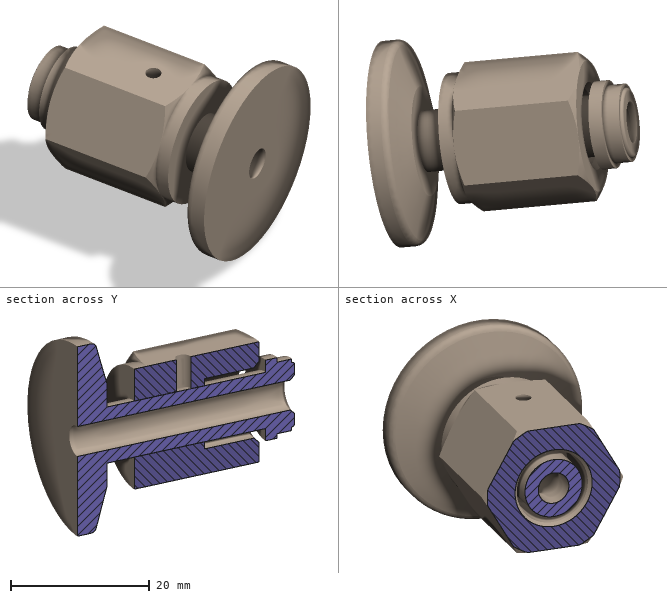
import cadquery as cq
import math

total_length = 35.8

bead_radius = 5.12
bead_length = 0.45
neck_radius = 5.7
collar_start = 2.85
collar_end = 4.85
collar_radius = 6.4
tube_radius = 4.48
bore_radius = 2.33
bore_chamfer = 0.75
flange_start = 30.82
flange_face_radius = 8.0
flange_radius = 15.0
flange_shoulder = 32.83
flange_round = 1.0

hex_start = 5.85
hex_end = 24.4
shoulder_end = 26.45
across_flats = 19.05
shoulder_radius = across_flats / 2
across_corners = across_flats / math.cos(math.radians(30))
corner_chamfer_angle = 30.0
recess_radius = 5.5
recess_mouth_radius = collar_radius
recess_depth = 8.95
vent_x = 18.3
vent_diameter = 2.33


def cylinder(start, end, radius):
    """Solid cylinder along the X axis."""
    return cq.Workplane("YZ", origin=(start, 0, 0)).circle(radius).extrude(end - start)


def revolve_about_x(points):
    """Revolve a closed (x, radius) outline about the X axis."""
    return cq.Workplane("XY").polyline(points).close().revolve(360, (0, 0, 0), (1, 0, 0))


def make_flange():
    blank = revolve_about_x([
        (flange_start, 0),
        (flange_start, flange_face_radius),
        (flange_shoulder, flange_radius),
        (total_length, flange_radius),
        (total_length, 0),
    ])
    rim_edges = blank.edges("%CIRCLE").edges(cq.selectors.RadiusNthSelector(-1))
    return rim_edges.edges("<X").fillet(flange_round)


def make_gland():
    tip = cylinder(0, collar_start, bead_radius).faces("<X").edges().fillet(bead_length)
    gland = (
        tip
        .union(cylinder(bead_length, collar_start, neck_radius))
        .union(cylinder(collar_start, collar_end, collar_radius))
        .union(cylinder(collar_end, flange_start, tube_radius))
        .union(make_flange())
        .cut(cylinder(0, total_length, bore_radius))
    )
    bore_mouth = cq.selectors.RadiusNthSelector(0)
    return gland.faces("<X").edges(bore_mouth).chamfer(bore_chamfer)


def make_hexagon():
    """Hexagon with flats facing +Z and -Z and conically chamfered corners."""
    prism = (
        cq.Workplane("YZ", origin=(hex_start, 0, 0))
        .polygon(6, across_corners)
        .extrude(hex_end - hex_start)
    )
    corner_radius = across_corners / 2
    chamfer_length = (corner_radius - shoulder_radius) * math.tan(math.radians(corner_chamfer_angle))
    envelope = revolve_about_x([
        (hex_start, 0),
        (hex_start, shoulder_radius),
        (hex_start + chamfer_length, corner_radius),
        (hex_end - chamfer_length, corner_radius),
        (hex_end, shoulder_radius),
        (hex_end, 0),
    ])
    return prism.intersect(envelope)


def make_recess():
    """Clearance around the tube at the open end of the nut, with a 45-degree mouth."""
    mouth_end = hex_start + recess_mouth_radius - recess_radius
    recess_end = hex_start + recess_depth
    return revolve_about_x([
        (hex_start, 0),
        (hex_start, recess_mouth_radius),
        (mouth_end, recess_radius),
        (recess_end, recess_radius),
        (recess_end, 0),
    ])


def make_nut():
    vent = (
        cq.Workplane("XY")
        .center(vent_x, 0)
        .circle(vent_diameter / 2)
        .extrude(across_flats)
    )
    return (
        make_hexagon()
        .union(cylinder(hex_end, shoulder_end, shoulder_radius))
        .cut(cylinder(hex_start, shoulder_end, tube_radius))
        .cut(make_recess())
        .cut(vent)
    )


gland = make_gland()
nut = make_nut()

result = cq.Compound.makeCompound([gland.val(), nut.val()])